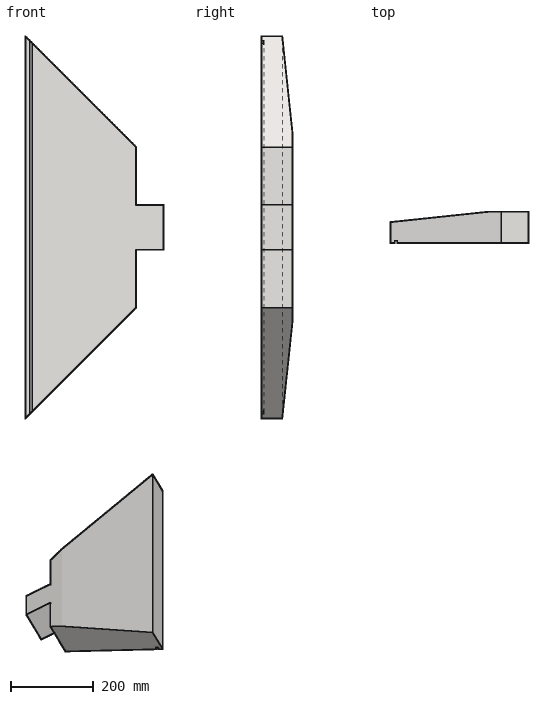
import cadquery as cq

length = 926.0
thickness = 76.0
total_width = 335.0

tenon_length = 67.0
tenon_height = 109.0
plate_width = total_width - tenon_length
short_length = length - 2 * plate_width

edge_thickness = 51.0
taper_width = 236.0

groove_start = 11.0
groove_width = 6.0
groove_depth = 6.0


def make_plate():
    """Trapezoidal plate with its front face on Y = 0."""
    outline = [
        (0, -length / 2),
        (plate_width, -short_length / 2),
        (plate_width, short_length / 2),
        (0, length / 2),
    ]
    return cq.Workplane("XZ").polyline(outline).close().extrude(-thickness)


def make_taper_cut():
    """Wedge that thins the back of the plate toward its long edge."""
    return (
        cq.Workplane("XY", origin=(0, 0, -length / 2))
        .moveTo(0, edge_thickness)
        .lineTo(taper_width, thickness)
        .lineTo(0, thickness)
        .close()
        .extrude(length)
    )


def make_groove():
    """Straight groove running the full height of the front face."""
    return (
        cq.Workplane("XY")
        .box(groove_width, groove_depth, length, centered=(False, False, True))
        .translate((groove_start, 0, 0))
    )


def make_tenon():
    """Full-thickness block in the middle of the short edge."""
    return (
        cq.Workplane("XY")
        .box(tenon_length, thickness, tenon_height, centered=(False, False, True))
        .translate((plate_width, 0, 0))
    )


result = make_plate().cut(make_taper_cut()).cut(make_groove()).union(make_tenon())